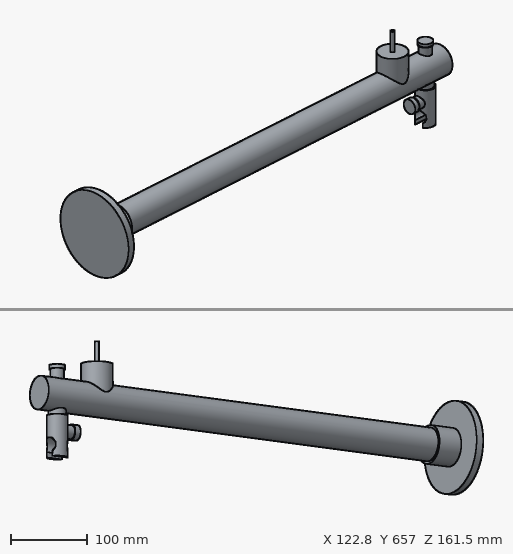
import cadquery as cq

total_length = 657.0
front_y = -total_length / 2
tip_y = total_length / 2
tube_radius = 22.0

flange_radius = 61.4
flange_thickness = 10.5
collar_radius = 25.5
collar_end = 44.5

turret_y = tip_y - 90.5
turret_radius = 21.0
turret_top = 48.0
rod_radius = 2.95
rod_top = 78.0

knob_head_radius = 10.5
knob_neck_radius = 9.0

holder_y = tip_y - 28.0
top_knob_top = 39.5
top_knob_head_height = 5.0

holder_radius = 14.0
holder_neck_radius = 12.0
holder_top = -27.5
holder_bottom = -83.5

side_knob_z = -47.0
side_knob_reach = 30.0
side_knob_head_height = 8.5

cradle_radius = 10.5
cradle_z = -68.0
cradle_mouth = 13.0


def cylinder_y(radius, y_start, y_end):
    """Solid cylinder on the tube axis."""
    base = cq.Workplane("XZ", origin=(0, y_end, 0))
    return base.circle(radius).extrude(y_end - y_start)


def cylinder_z(radius, y, z_start, z_end):
    """Upright solid cylinder in the middle plane of the tube."""
    base = cq.Workplane("XY", origin=(0, y, z_start))
    return base.circle(radius).extrude(z_end - z_start)


def knob(reach, head_height):
    """Upright knob that starts at the origin."""
    neck = cylinder_z(knob_neck_radius, 0, 0, reach)
    head = cylinder_z(knob_head_radius, 0, reach - head_height, reach)
    return neck.union(head)


def make_tube():
    tube = cylinder_y(tube_radius, front_y, tip_y)
    flange = cylinder_y(flange_radius, front_y, front_y + flange_thickness)
    collar = cylinder_y(collar_radius, front_y, front_y + collar_end)
    return tube.union(flange).union(collar)


def make_turret():
    turret = cylinder_z(turret_radius, turret_y, 0, turret_top)
    rod = cylinder_z(rod_radius, turret_y, 0, rod_top)
    return turret.union(rod)


def make_holder():
    neck = cylinder_z(holder_neck_radius, holder_y, holder_top, 0)
    body = cylinder_z(holder_radius, holder_y, holder_bottom, holder_top)
    side_knob = (
        knob(side_knob_reach, side_knob_head_height)
        .rotate((0, 0, 0), (1, 0, 0), 90)
        .translate((0, holder_y, side_knob_z))
    )

    seat = cylinder_y(cradle_radius, holder_y - holder_radius, holder_y + holder_radius)
    seat = seat.translate((0, 0, cradle_z))
    mouth_height = cradle_z - holder_bottom
    mouth = (
        cq.Workplane("XY", origin=(0, holder_y, holder_bottom))
        .rect(cradle_mouth, 2 * holder_radius)
        .extrude(mouth_height)
    )
    return neck.union(body).union(side_knob).cut(seat).cut(mouth)


top_knob = knob(top_knob_top, top_knob_head_height).translate((0, holder_y, 0))

result = make_tube().union(make_turret()).union(top_knob).union(make_holder())